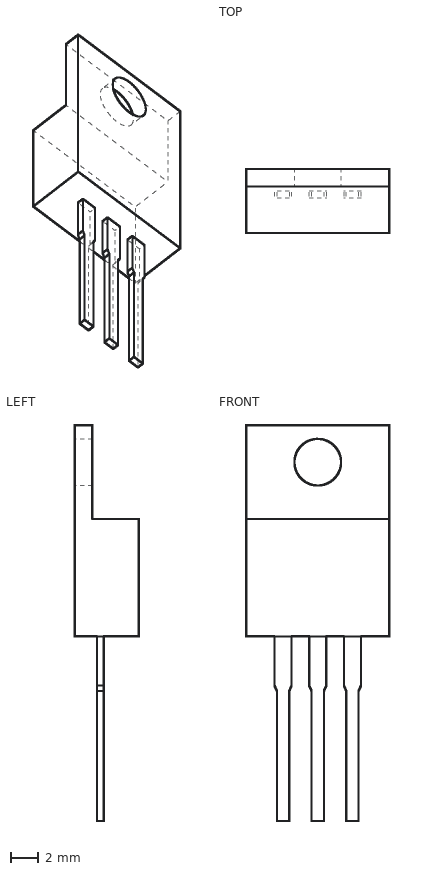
import cadquery as cq

total_height = 29.0
width = 10.5
body_depth = 4.7
body_height = 8.6

tab_thickness = 1.3
hole_diameter = 3.4
hole_below_top = 2.72

lead_count = 3
lead_pitch = 2.54
lead_length = 13.52
lead_thickness = 0.52
lead_back_offset = 1.62
shoulder_width = 1.27
shoulder_length = 3.6
taper_length = 0.4
tip_width = 0.92

tab_top = total_height - lead_length


def make_block(depth, height):
    """Full-width block standing on Z = 0 with its back on Y = 0."""
    block = cq.Workplane("XY").box(width, depth, height, centered=(True, False, False))
    return block.translate((0, -depth, 0))


def make_tab():
    """Flat plate along the back of the body, with a mounting hole near its top."""
    hole = (
        cq.Workplane("XZ")
        .center(0, tab_top - hole_below_top)
        .circle(hole_diameter / 2)
        .extrude(tab_thickness)
    )
    return make_block(tab_thickness, tab_top).cut(hole)


def make_lead(x):
    """Flat lead centred on x: a wide shoulder that tapers to a narrow tip."""
    half_shoulder = shoulder_width / 2
    half_tip = tip_width / 2
    taper_end = shoulder_length + taper_length
    return (
        cq.Workplane("XZ", origin=(x, -lead_back_offset, 0))
        .moveTo(-half_shoulder, 0)
        .lineTo(half_shoulder, 0)
        .lineTo(half_shoulder, -shoulder_length)
        .lineTo(half_tip, -taper_end)
        .lineTo(half_tip, -lead_length)
        .lineTo(-half_tip, -lead_length)
        .lineTo(-half_tip, -taper_end)
        .lineTo(-half_shoulder, -shoulder_length)
        .close()
        .extrude(lead_thickness)
    )


result = make_block(body_depth, body_height).union(make_tab())
for index in range(lead_count):
    lead_x = (index - (lead_count - 1) / 2) * lead_pitch
    result = result.union(make_lead(lead_x))